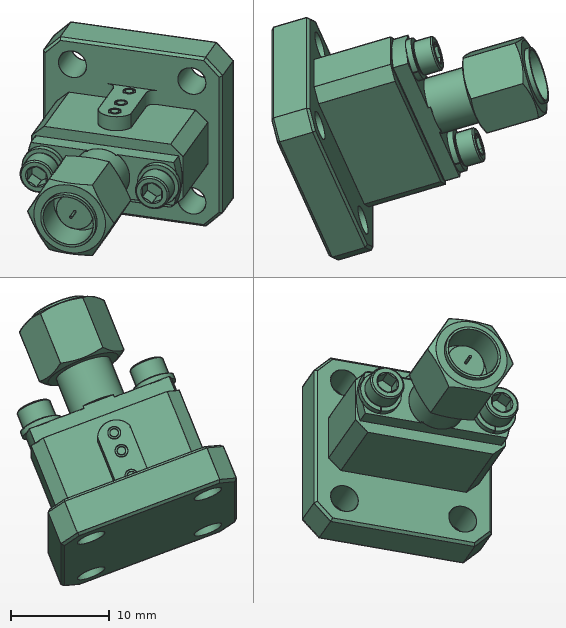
import cadquery as cq
import math


TOTAL_LENGTH = 25.35
FLANGE_SIDE = 19.05
FLANGE_THICKNESS = 4.1
FLANGE_CORNER = 1.8
FLANGE_RIM_CHAMFER = 0.28
FLANGE_HOLE_DIAMETER = 2.97
FLANGE_HOLE_SPACING_X = 12.68
FLANGE_HOLE_SPACING_Z = 13.49

BLOCK_WIDTH = 16.07
BLOCK_HEIGHT = 7.1
BLOCK_LENGTH = 8.25
BLOCK_CORNER_X = 1.32
BLOCK_CORNER_Z = 1.22
BLOCK_FRONT = FLANGE_THICKNESS + BLOCK_LENGTH

PAD_TOP = 5.12
PAD_HALF_WIDTH = 1.75
PAD_END = 11.15
PAD_END_RADIUS = 1.9
PAD_ROOT_RADIUS = 0.8
TUNER_POSITIONS = (5.05, 7.83, 9.85)
TUNER_HOLE_DIAMETER = 1.3
TUNER_SCREW_DIAMETER = 0.85
TUNER_GROOVE_DEPTH = 0.13

SHIM_THICKNESS = 0.08
SHIM_INSET = 0.15
PLATE_DIAMETER = 15.92
PLATE_HEIGHT = 4.82
PLATE_FRONT = 14.05
PLATE_COLLAR_FRONT = 14.3

SCREW_SPACING = 12.25
WASHER_DIAMETER = 4.35
WASHER_THICKNESS = 0.6
WASHER_SPLIT = 0.1
SCREW_SHANK_DIAMETER = 2.28
SCREW_HEAD_DIAMETER = 3.57
SCREW_HEAD_FRONT = 16.73
SCREW_HEAD_CHAMFER = 0.15
SOCKET_ACROSS_FLATS = 2.0
SOCKET_DEPTH = 1.65
SOCKET_COUNTERSINK_DEPTH = 0.1

BARREL_DIAMETER = 5.83
BORE_DIAMETER = 5.32
BORE_DEPTH = 3.55
CORE_DIAMETER = 3.9
CORE_FACE_DEPTH = 2.23
PIN_DIAMETER = 0.25
PIN_TIP_DEPTH = 0.85
NUT_REAR = 18.53
NUT_FRONT = 24.87
NUT_ACROSS_FLATS = 7.95
NUT_FACE_DIAMETER = 7.6
NUT_CHAMFER_LENGTH = 0.38


def across_corners(across_flats):
    return across_flats / math.cos(math.radians(30))


def section_at(distance, x=0.0):
    """Sketch plane facing forward (-Y), the given distance ahead of the rear face."""
    return cq.Workplane("XZ", origin=(x, -distance, 0))


def cylinder(diameter, start, end, x=0.0):
    return section_at(start, x).circle(diameter / 2).extrude(end - start)


def make_flange():
    flange = section_at(0).rect(FLANGE_SIDE, FLANGE_SIDE).extrude(FLANGE_THICKNESS)
    flange = flange.edges("|Y").chamfer(FLANGE_CORNER)
    flange = flange.faces("<Y or >Y").chamfer(FLANGE_RIM_CHAMFER)
    holes = (
        section_at(0)
        .rect(FLANGE_HOLE_SPACING_X, FLANGE_HOLE_SPACING_Z, forConstruction=True)
        .vertices()
        .circle(FLANGE_HOLE_DIAMETER / 2)
        .extrude(FLANGE_THICKNESS)
    )
    return flange.cut(holes)


def make_block():
    side = BLOCK_WIDTH / 2
    top = BLOCK_HEIGHT / 2
    corner_x = side - BLOCK_CORNER_X
    corner_z = top - BLOCK_CORNER_Z
    return (
        section_at(FLANGE_THICKNESS)
        .polyline(
            [
                (side, corner_z),
                (corner_x, top),
                (-corner_x, top),
                (-side, corner_z),
                (-side, -corner_z),
                (-corner_x, -top),
                (corner_x, -top),
                (side, -corner_z),
            ]
        )
        .close()
        .extrude(BLOCK_LENGTH)
    )


def make_tuning_pad():
    root_y = -FLANGE_THICKNESS
    flare = PAD_HALF_WIDTH + PAD_ROOT_RADIUS
    side_start = root_y - PAD_ROOT_RADIUS
    end_center_y = -PAD_END + PAD_END_RADIUS
    side_end = end_center_y - math.sqrt(PAD_END_RADIUS**2 - PAD_HALF_WIDTH**2)
    pad = (
        cq.Workplane("XY")
        .moveTo(-flare, root_y)
        .radiusArc((-PAD_HALF_WIDTH, side_start), PAD_ROOT_RADIUS)
        .lineTo(-PAD_HALF_WIDTH, side_end)
        .threePointArc((0, -PAD_END), (PAD_HALF_WIDTH, side_end))
        .lineTo(PAD_HALF_WIDTH, side_start)
        .radiusArc((flare, root_y), PAD_ROOT_RADIUS)
        .close()
        .extrude(PAD_TOP)
    )
    grooves = (
        cq.Workplane("XY", origin=(0, 0, PAD_TOP))
        .pushPoints([(0, -position) for position in TUNER_POSITIONS])
        .circle(TUNER_HOLE_DIAMETER / 2)
        .circle(TUNER_SCREW_DIAMETER / 2)
        .extrude(-TUNER_GROOVE_DEPTH)
    )
    return pad.cut(grooves)


def round_ended_plate(diameter, height, start, end):
    flats = section_at(start).rect(diameter, height).extrude(end - start)
    return cylinder(diameter, start, end).intersect(flats)


def make_plate():
    plate_rear = BLOCK_FRONT + SHIM_THICKNESS
    shim = round_ended_plate(
        PLATE_DIAMETER - 2 * SHIM_INSET, PLATE_HEIGHT - 2 * SHIM_INSET, BLOCK_FRONT, plate_rear
    )
    plate = round_ended_plate(PLATE_DIAMETER, PLATE_HEIGHT, plate_rear, PLATE_FRONT)
    collar = round_ended_plate(BARREL_DIAMETER, PLATE_HEIGHT, PLATE_FRONT, PLATE_COLLAR_FRONT)
    return shim.union(plate).union(collar)


def make_screw(x):
    head_rear = PLATE_FRONT + WASHER_THICKNESS
    washer = cylinder(WASHER_DIAMETER, PLATE_FRONT, head_rear, x)
    split = (
        section_at(PLATE_FRONT, x)
        .center(0, -WASHER_DIAMETER / 2)
        .rect(WASHER_SPLIT, WASHER_DIAMETER)
        .extrude(WASHER_THICKNESS)
    )
    shank = cylinder(SCREW_SHANK_DIAMETER, PLATE_FRONT, head_rear, x)
    head = cylinder(SCREW_HEAD_DIAMETER, head_rear, SCREW_HEAD_FRONT, x)
    head = head.faces("<Y or >Y").chamfer(SCREW_HEAD_CHAMFER)

    socket_corners = across_corners(SOCKET_ACROSS_FLATS)
    socket = (
        section_at(SCREW_HEAD_FRONT, x)
        .transformed(rotate=(0, 0, 90))
        .polygon(6, socket_corners)
        .extrude(-SOCKET_DEPTH)
    )
    countersink = (
        section_at(SCREW_HEAD_FRONT, x)
        .circle(socket_corners / 2)
        .workplane(offset=-SOCKET_COUNTERSINK_DEPTH)
        .circle(SOCKET_ACROSS_FLATS / 2)
        .loft()
    )
    return washer.cut(split).union(shank).union(head).cut(socket).cut(countersink)


def make_nut():
    corners = across_corners(NUT_ACROSS_FLATS)
    hexagon = section_at(NUT_REAR).polygon(6, corners).extrude(NUT_FRONT - NUT_REAR)
    face_radius = NUT_FACE_DIAMETER / 2
    corner_radius = corners / 2
    envelope = (
        cq.Workplane("XY")
        .polyline(
            [
                (0, -NUT_REAR),
                (face_radius, -NUT_REAR),
                (corner_radius, -NUT_REAR - NUT_CHAMFER_LENGTH),
                (corner_radius, -NUT_FRONT + NUT_CHAMFER_LENGTH),
                (face_radius, -NUT_FRONT),
                (0, -NUT_FRONT),
            ]
        )
        .close()
        .revolve(360, (0, 0, 0), (0, 1, 0))
    )
    return hexagon.intersect(envelope)


def make_coupling():
    bore_floor = TOTAL_LENGTH - BORE_DEPTH
    core_face = TOTAL_LENGTH - CORE_FACE_DEPTH
    pin_tip = TOTAL_LENGTH - PIN_TIP_DEPTH
    barrel = cylinder(BARREL_DIAMETER, PLATE_COLLAR_FRONT, TOTAL_LENGTH).union(make_nut())
    barrel = barrel.cut(cylinder(BORE_DIAMETER, bore_floor, TOTAL_LENGTH))
    core = cylinder(CORE_DIAMETER, bore_floor, core_face)
    pin = cylinder(PIN_DIAMETER, core_face, pin_tip)
    return barrel.union(core).union(pin)


result = make_flange().union(make_block()).union(make_tuning_pad())
result = result.union(make_plate()).union(make_coupling())
for screw_x in (-SCREW_SPACING / 2, SCREW_SPACING / 2):
    result = result.union(make_screw(screw_x))